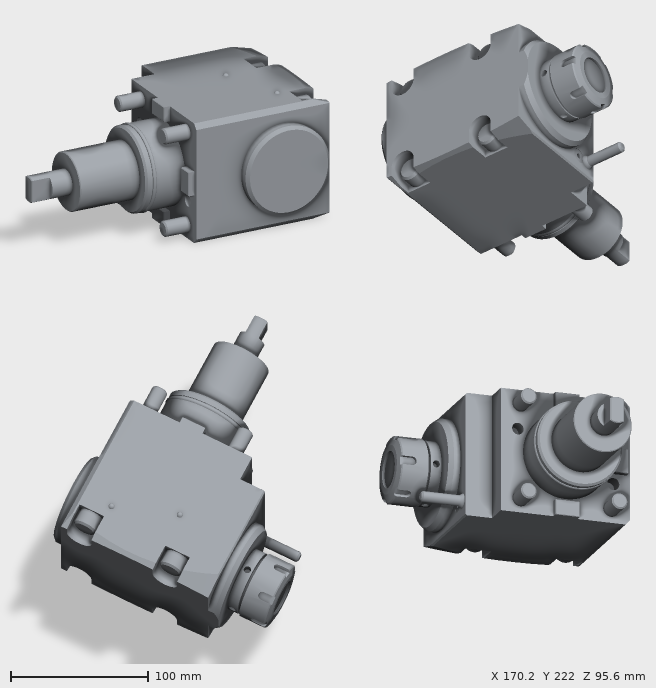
import cadquery as cq
import math


BLOCK_LEFT = -70.4
BLOCK_HALF_WIDTH = 50.0
BLOCK_BACK = 38.5
STEP_FACE_Y = -52.6
MOUNT_FACE_Y = -71.7
BLOCK_HALF_HEIGHT = 47.0
CORNER_CHAMFER_X = 3.5
CORNER_CHAMFER_Z = 4.0
LEFT_EDGE_CHAMFER = 1.0
SWING_CENTRE_X = -4.5
SWING_RADIUS = 155.5
SWING_PEAK_Y = 34.6
SWING_ANGLE = 16

FRONT_COVER_RADIUS = 41.5
FRONT_COVER_RIM = 4.9
FRONT_COVER_HEIGHT = 8.5
FRONT_COVER_BEVEL = 2.7
REAR_COVER_RADIUS = 34.6
REAR_COVER_HEIGHT = 9.0
REAR_COVER_CHAMFER = 2.5

FLANGE_RADIUS = 32.9
FLANGE_END_Y = -104.0
FLANGE_CHAMFER = 1.5
SEAL_RADIUS = 33.5
SEAL_START_Y = -95.0
SEAL_WIDTH = 2.9
SEAL_GAP_WIDTH = 0.7
SEAL_GAP_DEPTH = 0.7
SHANK_RADIUS = 22.5
SHANK_END_Y = -152.5
SHANK_CHAMFER = 0.7
DRIVE_RADIUS = 10.0
DRIVE_END_Y = -183.5
TANG_THICKNESS = 10.7
TANG_LENGTH = 14.7
TANG_FILLET = 0.7
TANG_CHAMFER = 0.7

SCREW_X = 35.0
SCREW_Z = 36.5
SCREW_RADIUS = 6.0
SCREW_REACH = 19.8
SCREW_CHAMFER = 1.0
SCREW_HEAD_RADIUS = 9.0
SCREW_HEAD_HEIGHT = 12.0
SCREW_HEAD_CHAMFER = 1.5
POCKET_RADIUS = 10.0
POCKET_DEPTH = 20.2

KEY_WIDTH = 18.6
KEY_LENGTH = 11.8
KEY_HEIGHT = 4.9
KEY_CHAMFER = 0.5
SIDE_KEY_OUTER_X = 47.0

PORT_X = 36.9
PORT_Z = 17.0
DRILLED_RADIUS = 4.5
FLAT_HOLE_RADIUS = 4.7
PORT_DEPTH = 11
DRILL_TIP_ANGLE = 118

PIN_Y = -44.8
PIN_Z = -33.7
PIN_RADIUS = 4.0
PIN_TIP_X = -102.5
PIN_CHAMFER = 1.3
PIN_FOOT_RADIUS = 5.5
PIN_FOOT_HEIGHT = 2.7
PLUG_Y = -34.9
PLUG_RADIUS = 5.5
PLUG_RECESS = 0.2
PLUG_HOLE_RADIUS = 2.0
PLUG_HOLE_DEPTH = 2.2

BALL_RADIUS = 2.5
BALL_TOP_Z = 48.6
BALL_PLACES = [(-23.5, -8.0), (23.8, 8.9)]

NOSE_X = -111.2
NUT_RADIUS = 25.0
NUT_BACK_X = -89.0
NUT_EDGE_RADIUS = 24.2
NUT_BEVEL_DEPTH = 1.5
NUT_EDGE_DEPTH = 2.5
NUT_FACE_RADIUS = 18.2
COLLET_RADIUS = 13.8
COLLET_DEPTH = 2.0
NECK_RADIUS = 20.9
COLLAR_RADIUS = 24.2
COLLAR_FRONT_X = -86.8
COLLAR_HOLE_RADIUS = 2.7
COLLAR_HOLE_DEPTH = 6.7
COLLAR_HOLE_X = -82.8
COLLAR_HOLE_COUNT = 4
SLOT_COUNT = 6
SLOT_WIDTH = 6.5
SLOT_END_X = -98.3
SLOT_FLOOR_RADIUS = 22.2

COVER_FACE_X = BLOCK_LEFT - FRONT_COVER_HEIGHT


def cylinder_x(start_x, length, radius, y=0, z=0):
    """Cylinder along +X from start_x."""
    return cq.Workplane(cq.Plane((start_x, y, z), (0, 1, 0), (1, 0, 0))).circle(radius).extrude(length)


def cylinder_y(start_y, length, radius, x=0, z=0):
    """Cylinder along -Y from start_y."""
    return cq.Workplane(cq.Plane((x, start_y, z), (1, 0, 0), (0, -1, 0))).circle(radius).extrude(length)


def turned_back_edge():
    """Upper half of the space inside the cone that trims the top back edge of the block."""
    slope = math.tan(math.radians(SWING_ANGLE))
    apex_height = SWING_RADIUS * slope
    base_radius = (apex_height + BLOCK_HALF_HEIGHT) / slope
    return (
        cq.Workplane("XZ")
        .polyline([(0, 0), (base_radius, 0), (0, BLOCK_HALF_HEIGHT + apex_height)])
        .close()
        .revolve(360, (0, 0), (0, 1))
        .translate((SWING_CENTRE_X, SWING_PEAK_Y - SWING_RADIUS, 0))
    )


def block():
    height = 2 * BLOCK_HALF_HEIGHT
    body = (
        cq.Workplane("XY")
        .workplane(offset=-BLOCK_HALF_HEIGHT)
        .moveTo(BLOCK_LEFT, BLOCK_BACK)
        .lineTo(BLOCK_HALF_WIDTH, BLOCK_BACK)
        .lineTo(BLOCK_HALF_WIDTH, MOUNT_FACE_Y)
        .lineTo(-BLOCK_HALF_WIDTH, MOUNT_FACE_Y)
        .lineTo(-BLOCK_HALF_WIDTH, STEP_FACE_Y)
        .lineTo(BLOCK_LEFT, STEP_FACE_Y)
        .close()
        .extrude(height)
    )
    body = body.edges(">X and |Y").chamfer(CORNER_CHAMFER_Z, CORNER_CHAMFER_X)
    body = body.edges("<X and |Y").chamfer(LEFT_EDGE_CHAMFER)
    upper_cone = turned_back_edge()
    lower_cone = upper_cone.mirror("XY")
    return body.intersect(upper_cone.union(lower_cone))


def front_cover():
    """Bevelled disc cut flush with the back of the block."""
    rim = cylinder_x(COVER_FACE_X, FRONT_COVER_HEIGHT, FRONT_COVER_RADIUS)
    disc = rim.faces("<X").chamfer(FRONT_COVER_HEIGHT - FRONT_COVER_RIM, FRONT_COVER_BEVEL)
    overhang = cq.Workplane("XY").box(FRONT_COVER_HEIGHT, FRONT_COVER_RADIUS, 2 * FRONT_COVER_RADIUS)
    overhang = overhang.translate(
        (BLOCK_LEFT - FRONT_COVER_HEIGHT / 2, BLOCK_BACK + FRONT_COVER_RADIUS / 2, 0)
    )
    return disc.cut(overhang)


def rear_cover():
    disc = cylinder_x(BLOCK_HALF_WIDTH, REAR_COVER_HEIGHT, REAR_COVER_RADIUS)
    return disc.faces(">X").chamfer(REAR_COVER_CHAMFER)


def shank():
    flange = cylinder_y(MOUNT_FACE_Y, MOUNT_FACE_Y - FLANGE_END_Y, FLANGE_RADIUS)
    flange = flange.faces("<Y").chamfer(FLANGE_CHAMFER)
    barrel = cylinder_y(FLANGE_END_Y, FLANGE_END_Y - SHANK_END_Y, SHANK_RADIUS)
    barrel = barrel.faces("<Y").chamfer(SHANK_CHAMFER)
    return flange.cut(seal_gap()).union(seal_ring()).union(barrel).union(drive_end())


def seal_ring():
    """Rounded bead of the seal standing out of the flange."""
    seal_end_y = SEAL_START_Y - SEAL_WIDTH
    return (
        cq.Workplane("XY")
        .moveTo(SHANK_RADIUS, SEAL_START_Y)
        .lineTo(FLANGE_RADIUS, SEAL_START_Y)
        .threePointArc((SEAL_RADIUS, SEAL_START_Y - SEAL_WIDTH / 2), (FLANGE_RADIUS, seal_end_y))
        .lineTo(SHANK_RADIUS, seal_end_y)
        .close()
        .revolve(360, (0, 0), (0, 1))
    )


def seal_gap():
    """Narrow groove between the seal bead and the outer end of the flange."""
    gap_start_y = SEAL_START_Y - SEAL_WIDTH
    outer = cylinder_y(gap_start_y, SEAL_GAP_WIDTH, SEAL_RADIUS)
    return outer.cut(cylinder_y(gap_start_y, SEAL_GAP_WIDTH, FLANGE_RADIUS - SEAL_GAP_DEPTH))


def drive_end():
    """Round drive shaft milled to a two-flat tang."""
    shaft = cylinder_y(SHANK_END_Y, SHANK_END_Y - DRIVE_END_Y, DRIVE_RADIUS)
    for side in (-1, 1):
        flat = cq.Workplane("XY").box(DRIVE_RADIUS, TANG_LENGTH, 2 * DRIVE_RADIUS)
        flat_x = side * (TANG_THICKNESS + DRIVE_RADIUS) / 2
        flat = flat.translate((flat_x, DRIVE_END_Y + TANG_LENGTH / 2, 0))
        inner_edge = "<X" if side > 0 else ">X"
        flat = flat.edges(f"{inner_edge} and >Y").fillet(TANG_FILLET)
        shaft = shaft.cut(flat)
    return shaft.faces("<Y").chamfer(TANG_CHAMFER)


def screw_pocket(x, side):
    """Counterbore in the back face, open through the nearer top or bottom face."""
    bore = cylinder_y(BLOCK_BACK, POCKET_DEPTH, POCKET_RADIUS, x, side * SCREW_Z)
    opening = cq.Workplane("XY").box(2 * POCKET_RADIUS, POCKET_DEPTH, SCREW_Z)
    opening = opening.translate((x, BLOCK_BACK - POCKET_DEPTH / 2, side * 1.5 * SCREW_Z))
    return bore.union(opening)


def screw_head(x, z):
    seat_y = BLOCK_BACK - POCKET_DEPTH
    head = cylinder_y(seat_y + SCREW_HEAD_HEIGHT, SCREW_HEAD_HEIGHT, SCREW_HEAD_RADIUS, x, z)
    return head.faces(">Y").chamfer(SCREW_HEAD_CHAMFER)


def screw_end(x, z):
    end = cylinder_y(MOUNT_FACE_Y, SCREW_REACH, SCREW_RADIUS, x, z)
    return end.faces("<Y").chamfer(SCREW_CHAMFER)


def key(centre_x, centre_z, size_x, size_z):
    slab = cq.Workplane("XY").box(size_x, KEY_HEIGHT, size_z).faces("<Y").chamfer(KEY_CHAMFER)
    return slab.translate((centre_x, MOUNT_FACE_Y - KEY_HEIGHT / 2, centre_z))


def drilled_hole():
    hole = cylinder_y(MOUNT_FACE_Y, -PORT_DEPTH, DRILLED_RADIUS, -PORT_X, PORT_Z)
    tip_height = DRILLED_RADIUS / math.tan(math.radians(DRILL_TIP_ANGLE / 2))
    tip = cq.Solid.makeCone(
        DRILLED_RADIUS, 0, tip_height,
        cq.Vector(-PORT_X, MOUNT_FACE_Y + PORT_DEPTH, PORT_Z), cq.Vector(0, 1, 0),
    )
    return hole.union(cq.Workplane(tip))


def coolant_pin():
    pin = cylinder_x(PIN_TIP_X, BLOCK_LEFT - PIN_TIP_X, PIN_RADIUS, PIN_Y, PIN_Z)
    pin = pin.faces("<X").chamfer(PIN_CHAMFER)
    foot = cq.Solid.makeCone(
        PIN_FOOT_RADIUS, PIN_RADIUS, PIN_FOOT_HEIGHT,
        cq.Vector(BLOCK_LEFT, PIN_Y, PIN_Z), cq.Vector(-1, 0, 0),
    )
    return pin.union(cq.Workplane(foot))


def make_housing():
    body = block().union(front_cover()).union(rear_cover()).union(shank())
    for x in (-SCREW_X, SCREW_X):
        for side in (-1, 1):
            z = side * SCREW_Z
            body = body.cut(screw_pocket(x, side))
            body = body.union(screw_head(x, z)).union(screw_end(x, z))
    for side in (-1, 1):
        body = body.union(key(0, side * (BLOCK_HALF_HEIGHT - KEY_LENGTH / 2), KEY_WIDTH, KEY_LENGTH))
    body = body.union(key(SIDE_KEY_OUTER_X - KEY_LENGTH / 2, 0, KEY_LENGTH, KEY_WIDTH))
    body = body.cut(drilled_hole())
    body = body.cut(cylinder_y(MOUNT_FACE_Y, -PORT_DEPTH, FLAT_HOLE_RADIUS, PORT_X, -PORT_Z))
    body = body.cut(cylinder_x(BLOCK_LEFT, PLUG_RECESS, PLUG_RADIUS, PLUG_Y, PIN_Z))
    body = body.cut(cylinder_x(BLOCK_LEFT, PLUG_HOLE_DEPTH, PLUG_HOLE_RADIUS, PLUG_Y, PIN_Z))
    body = body.union(coolant_pin())
    for x, y in BALL_PLACES:
        body = body.union(cq.Workplane("XY").sphere(BALL_RADIUS).translate((x, y, BALL_TOP_Z - BALL_RADIUS)))
    return body


def wrench_slot():
    """Round-ended slot in the nut rim, on the -Y side."""
    round_centre_x = SLOT_END_X - SLOT_WIDTH / 2
    depth = NUT_RADIUS - SLOT_FLOOR_RADIUS
    return (
        cq.Workplane("XZ", origin=(0, -SLOT_FLOOR_RADIUS, 0))
        .moveTo(NOSE_X, -SLOT_WIDTH / 2)
        .lineTo(round_centre_x, -SLOT_WIDTH / 2)
        .threePointArc((SLOT_END_X, 0), (round_centre_x, SLOT_WIDTH / 2))
        .lineTo(NOSE_X, SLOT_WIDTH / 2)
        .close()
        .extrude(depth)
    )


def make_spindle():
    """Collet nut, neck and collar, resting against the front cover."""
    profile = [
        (COVER_FACE_X, 0),
        (COVER_FACE_X, COLLAR_RADIUS),
        (COLLAR_FRONT_X, COLLAR_RADIUS),
        (COLLAR_FRONT_X, NECK_RADIUS),
        (NUT_BACK_X, NECK_RADIUS),
        (NUT_BACK_X, NUT_RADIUS),
        (NOSE_X + NUT_EDGE_DEPTH, NUT_RADIUS),
        (NOSE_X + NUT_BEVEL_DEPTH, NUT_EDGE_RADIUS),
        (NOSE_X, NUT_FACE_RADIUS),
        (NOSE_X, COLLET_RADIUS),
        (NOSE_X + COLLET_DEPTH, COLLET_RADIUS),
        (NOSE_X + COLLET_DEPTH, 0),
    ]
    body = cq.Workplane("XY").polyline(profile).close().revolve(360, (0, 0), (1, 0))
    for index in range(SLOT_COUNT):
        body = body.cut(wrench_slot().rotate((0, 0, 0), (1, 0, 0), index * 360 / SLOT_COUNT))
    hole = cylinder_y(COLLAR_HOLE_DEPTH - COLLAR_RADIUS, COLLAR_HOLE_DEPTH, COLLAR_HOLE_RADIUS, COLLAR_HOLE_X)
    for index in range(COLLAR_HOLE_COUNT):
        body = body.cut(hole.rotate((0, 0, 0), (1, 0, 0), index * 360 / COLLAR_HOLE_COUNT))
    return body


housing = make_housing()
spindle = make_spindle()

result = cq.Compound.makeCompound([housing.val(), spindle.val()])